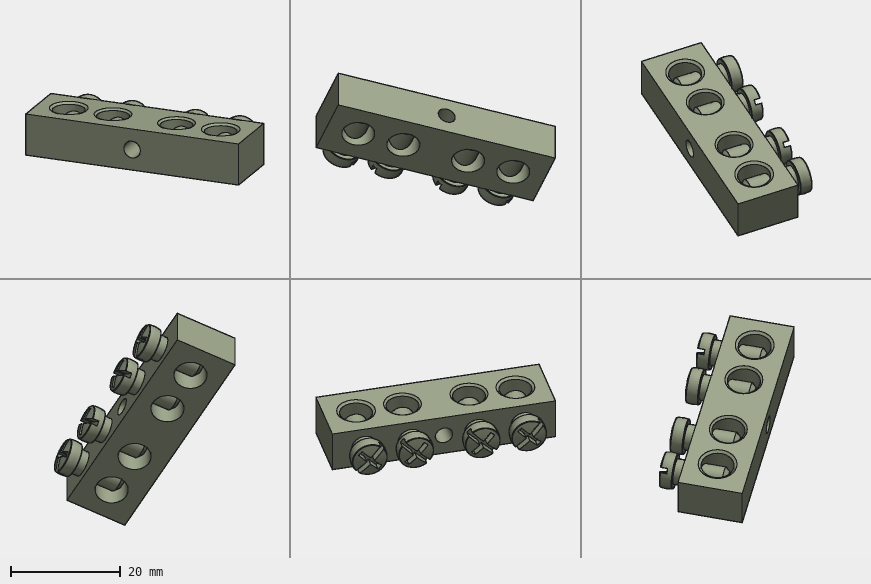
import cadquery as cq
import math

block_length = 42.0
block_depth = 12.0
block_height = 8.0
mount_hole_diameter = 3.25
wire_hole_diameter = 6.0
outer_mouth_diameter = 7.05
inner_mouth_diameter = 6.9
countersink_depth = 0.38

outer_station = 15.0
inner_station = 6.25

overall_depth = 16.65
shank_diameter = 4.8
tip_chamfer = 0.85
tip_y = 3.95
neck_gap = 1.8
head_side_height = 2.23
head_end_diameter = 6.55
head_middle_diameter = 6.75
head_edge_inset = 0.1
head_edge_height = 0.13
slot_width = 0.95
slot_depth = 1.72
slot_angle = 45.0
cross_slot_length = 5.2
through_slot_length = 2 * head_middle_diameter

middle_y = block_depth / 2
middle_z = block_height / 2
head_base_y = block_depth + neck_gap
head_rim_y = head_base_y + head_side_height


def make_wire_hole(x, mouth_diameter):
    """Vertical through hole with a conical mouth at the top face."""
    hole_radius = wire_hole_diameter / 2
    mouth_radius = mouth_diameter / 2
    return (
        cq.Workplane("XZ", origin=(x, middle_y, 0))
        .lineTo(hole_radius, 0)
        .lineTo(hole_radius, block_height - countersink_depth)
        .lineTo(mouth_radius, block_height)
        .lineTo(0, block_height)
        .close()
        .revolve(360, (0, 0), (0, 1))
    )


def make_bore(x, diameter, start_y):
    """Horizontal hole along Y, from start_y out through the back face."""
    return (
        cq.Workplane("XZ", origin=(x, start_y, middle_z))
        .circle(diameter / 2)
        .extrude(start_y - block_depth)
    )


def make_block(stations):
    """Rectangular bar with its wire holes, screw holes and mounting hole."""
    block = cq.Workplane("XY").box(
        block_length, block_depth, block_height, centered=(True, False, False)
    )
    block = block.cut(make_bore(0, mount_hole_diameter, 0))
    for x, mouth_diameter, _ in stations:
        block = block.cut(make_wire_hole(x, mouth_diameter))
        block = block.cut(make_bore(x, shank_diameter, middle_y))
    return block


def make_screw_body():
    """Shank with a chamfered tip and a domed head, revolved about the Y axis."""
    shank_radius = shank_diameter / 2
    end_radius = head_end_diameter / 2
    face_radius = end_radius - head_edge_inset
    dome_base_y = head_rim_y + head_edge_height
    dome_rise = overall_depth - dome_base_y
    sphere_radius = (face_radius**2 + dome_rise**2) / (2 * dome_rise)
    sphere_center_y = overall_depth - sphere_radius
    dome_mid_radius = face_radius / 2
    dome_mid_y = sphere_center_y + math.sqrt(sphere_radius**2 - dome_mid_radius**2)
    return (
        cq.Workplane("XY")
        .moveTo(0, tip_y)
        .lineTo(shank_radius - tip_chamfer, tip_y)
        .lineTo(shank_radius, tip_y + tip_chamfer)
        .lineTo(shank_radius, head_base_y)
        .lineTo(face_radius, head_base_y)
        .lineTo(end_radius, head_base_y + head_edge_height)
        .threePointArc(
            (head_middle_diameter / 2, (head_base_y + dome_base_y) / 2),
            (end_radius, head_rim_y),
        )
        .lineTo(face_radius, dome_base_y)
        .threePointArc((dome_mid_radius, dome_mid_y), (0, overall_depth))
        .close()
        .revolve(360, (0, 0), (0, 1))
    )


def make_slot(length, angle):
    """Cutter for a driver slot with cylindrical ends, turned by angle from the X axis."""
    floor_y = overall_depth - slot_depth
    bar = (
        cq.Workplane("XY")
        .box(length, slot_depth, slot_width, centered=(True, False, True))
        .translate((0, floor_y, 0))
    )
    ends = cq.Workplane("XZ", origin=(0, floor_y, 0)).circle(length / 2).extrude(-slot_depth)
    return bar.intersect(ends).rotate((0, 0, 0), (0, 1, 0), angle)


def make_screw(x, angle):
    """Screw at station x with a through slot at angle and a shorter slot across it."""
    through_slot = make_slot(through_slot_length, angle)
    cross_slot = make_slot(cross_slot_length, angle + 90)
    screw = make_screw_body().cut(through_slot).cut(cross_slot)
    return screw.translate((x, 0, middle_z))


stations = [
    (-outer_station, outer_mouth_diameter, slot_angle),
    (-inner_station, inner_mouth_diameter, -slot_angle),
    (inner_station, inner_mouth_diameter, -slot_angle),
    (outer_station, outer_mouth_diameter, slot_angle),
]

block = make_block(stations)
screws = [make_screw(x, angle) for x, _, angle in stations]

result = cq.Compound.makeCompound([block.solids().val(), *[screw.solids().val() for screw in screws]])